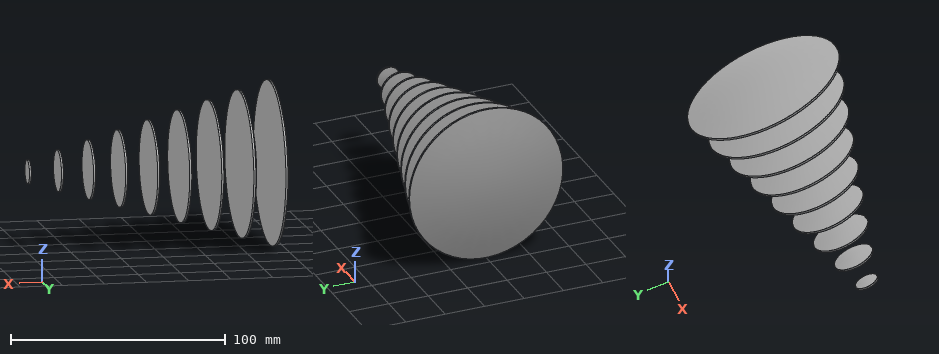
import cadquery as cq

LENS_COUNT = 9
OVERALL_LENGTH = 121.5
LARGEST_DIAMETER = 77.9
SMALLEST_DIAMETER = 11.4
RIM_THICKNESS = 1.0
LARGEST_DOME_HEIGHT = 5.3

DIAMETER_STEP = (LARGEST_DIAMETER - SMALLEST_DIAMETER) / (LENS_COUNT - 1)
DOME_RATIO = LARGEST_DOME_HEIGHT / LARGEST_DIAMETER
SMALLEST_LENS_THICKNESS = DOME_RATIO * SMALLEST_DIAMETER + RIM_THICKNESS
TIP_PITCH = (OVERALL_LENGTH - SMALLEST_LENS_THICKNESS) / (LENS_COUNT - 1)


def make_lens(tip_x, diameter):
    """Revolve half of a plano-convex lens about the X axis."""
    radius = diameter / 2
    dome_height = DOME_RATIO * diameter
    dome_radius = (radius**2 + dome_height**2) / (2 * dome_height)
    mid_radius = radius / 2
    mid_depth = dome_radius - (dome_radius**2 - mid_radius**2) ** 0.5
    rim_x = tip_x + dome_height
    back_x = rim_x + RIM_THICKNESS
    return (
        cq.Workplane("XY")
        .moveTo(tip_x, 0)
        .threePointArc((tip_x + mid_depth, mid_radius), (rim_x, radius))
        .lineTo(back_x, radius)
        .lineTo(back_x, 0)
        .close()
        .revolve(360, (0, 0, 0), (1, 0, 0))
    )


lenses = [
    make_lens(index * TIP_PITCH, LARGEST_DIAMETER - index * DIAMETER_STEP)
    for index in range(LENS_COUNT)
]

result = cq.Compound.makeCompound([lens.val() for lens in lenses])